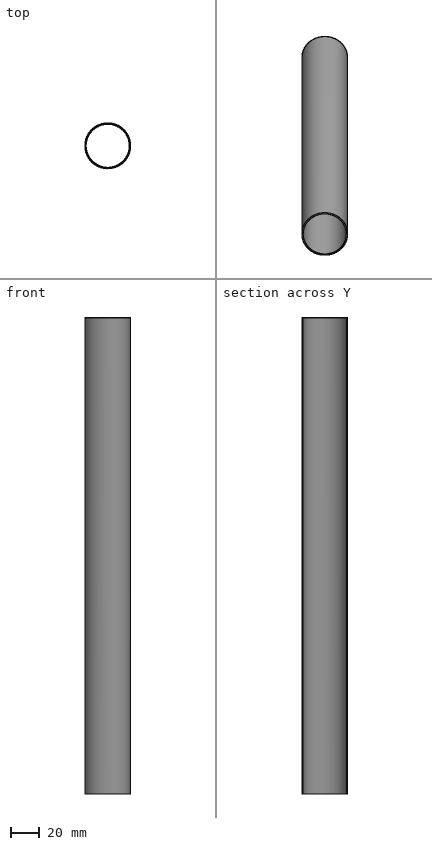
import cadquery as cq

outer_diameter = 32.0
wall_thickness = 1.0
length = 332.0

inner_diameter = outer_diameter - 2 * wall_thickness

result = (
    cq.Workplane("XY")
    .circle(outer_diameter / 2)
    .circle(inner_diameter / 2)
    .extrude(length)
)